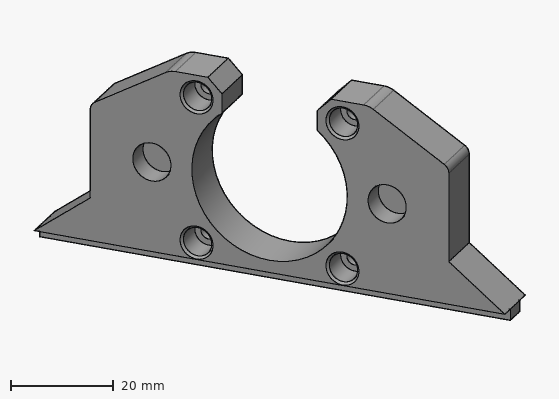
import cadquery as cq

thickness = 10.0
total_height = 41.7
base_length = 100.0

rail_height = 2.4
rail_width = 4.7

body_half_width = 38.1
foot_height = 11.5
shoulder_height = 31.5
top_outer_x = 21.1
shoulder_radius = 2.0
top_radius = 4.0

bore_radius = 16.5
bore_height = 21.5
mouth_width = 20.2
mouth_chamfer = 3.0

screw_spacing = 31.0
screw_diameter = 3.4
counterbore_diameter = 6.0
counterbore_depth = 6.0
rim_diameter = 7.0

pocket_spacing = 50.0
pocket_diameter = 8.1
pocket_depth = 5.0

front_y = -thickness / 2
half_length = base_length / 2
half_mouth = mouth_width / 2


def front_cylinder(x, z, diameter, depth):
    """Cylinder entering the front face along +Y."""
    return cq.Workplane("XZ", origin=(x, front_y, z)).circle(diameter / 2).extrude(-depth)


def make_body():
    right_side = [
        (half_length, rail_height),
        (body_half_width, foot_height),
        (body_half_width, shoulder_height),
        (top_outer_x, total_height),
    ]
    left_side = [(-x, z) for x, z in reversed(right_side)]
    body = (
        cq.Workplane("XZ", origin=(0, front_y, 0))
        .polyline(right_side + left_side)
        .close()
        .extrude(-thickness)
    )
    for side in (-1, 1):
        shoulder = (side * body_half_width, 0, shoulder_height)
        top_corner = (side * top_outer_x, 0, total_height)
        body = body.edges(cq.selectors.NearestToPointSelector(shoulder)).fillet(shoulder_radius)
        body = body.edges(cq.selectors.NearestToPointSelector(top_corner)).fillet(top_radius)
    return body


def make_rail():
    return cq.Workplane("XY").rect(base_length, rail_width).extrude(rail_height)


def make_bore():
    """Round bore with a chamfered mouth open to the top."""
    bore = front_cylinder(0, bore_height, 2 * bore_radius, thickness)
    mouth = (
        cq.Workplane("XZ", origin=(0, front_y, 0))
        .polyline([
            (-half_mouth, bore_height),
            (half_mouth, bore_height),
            (half_mouth, total_height - mouth_chamfer),
            (half_mouth + mouth_chamfer, total_height),
            (-half_mouth - mouth_chamfer, total_height),
            (-half_mouth, total_height - mouth_chamfer),
        ])
        .close()
        .extrude(-thickness)
    )
    return bore.union(mouth)


def make_screw_hole(x, z):
    """Through hole with a counterbore whose rim is countersunk at 45 degrees."""
    rim_depth = (rim_diameter - counterbore_diameter) / 2
    rim = cq.Workplane(
        cq.Solid.makeCone(
            rim_diameter / 2,
            counterbore_diameter / 2,
            rim_depth,
            cq.Vector(x, front_y, z),
            cq.Vector(0, 1, 0),
        )
    )
    hole = front_cylinder(x, z, screw_diameter, thickness)
    counterbore = front_cylinder(x, z, counterbore_diameter, counterbore_depth)
    return hole.union(counterbore).union(rim)


result = make_body().union(make_rail()).cut(make_bore())

for side in (-1, 1):
    screw_x = side * screw_spacing / 2
    for level in (-1, 1):
        screw_z = bore_height + level * screw_spacing / 2
        result = result.cut(make_screw_hole(screw_x, screw_z))
    pocket_x = side * pocket_spacing / 2
    result = result.cut(front_cylinder(pocket_x, bore_height, pocket_diameter, pocket_depth))